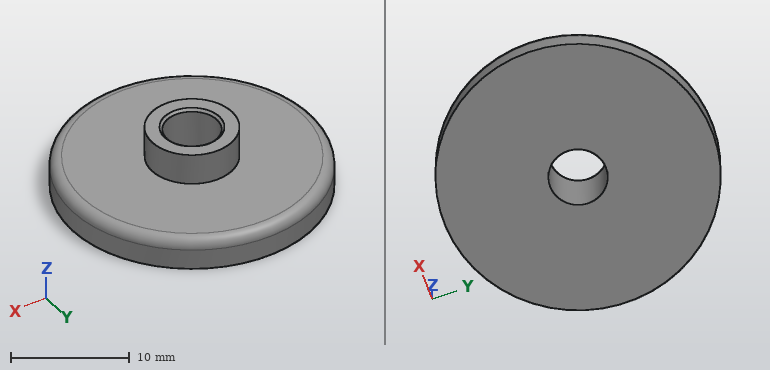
import cadquery as cq

disc_diameter = 24.0
disc_thickness = 3.0
rim_radius = 1.0

boss_diameter = 8.0
total_height = 6.0

bore_diameter = 5.0
mouth_chamfer = 0.25


def make_disc():
    """Disc resting on Z = 0 with a rounded upper rim."""
    disc = cq.Workplane("XY").circle(disc_diameter / 2).extrude(disc_thickness)
    return disc.faces(">Z").edges().fillet(rim_radius)


def make_boss():
    """Cylinder running from the base to the full height."""
    return cq.Workplane("XY").circle(boss_diameter / 2).extrude(total_height)


def cut_bore(body):
    """Bore through the part, chamfered where it meets the boss top."""
    bored = body.faces(">Z").workplane().hole(bore_diameter)
    mouth = bored.faces(">Z").edges(cq.selectors.RadiusNthSelector(0))
    return mouth.chamfer(mouth_chamfer)


result = cut_bore(make_disc().union(make_boss()))